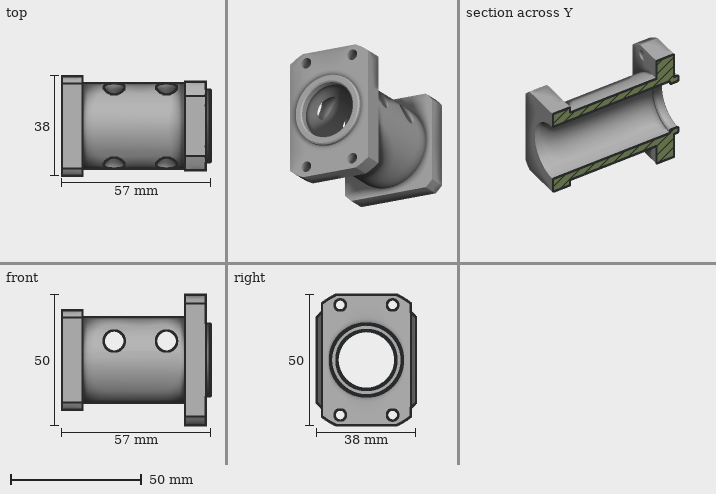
import cadquery as cq

total_length = 57.0
flange_thickness = 8.0
spigot_length = 2.0
mount_start = total_length - spigot_length - flange_thickness

tube_diameter = 33.0
spigot_diameter = 28.0
spigot_chamfer = 0.5
square_side = 38.0
square_corner_diameter = 50.0
mount_width = 34.0
mount_height = 50.0
mount_corner_diameter = 55.0

main_bore = 25.0
end_bore = 22.0
end_bore_length = 4.0
bore_chamfer = 0.5

cross_hole_diameter = 8.0
cross_hole_spacing = 20.0
cross_hole_height = 7.25
mount_hole_diameter = 4.2
mount_hole_spacing_y = 20.0
mount_hole_spacing_z = 42.0


def disc(start, length, diameter):
    """Cylinder along X, centred on the bore axis."""
    return cq.Workplane("YZ").workplane(offset=start).circle(diameter / 2).extrude(length)


def flange(start, width, height, corner_diameter):
    """Rectangular plate whose corners are turned down to a common circle."""
    plate = cq.Workplane("YZ").workplane(offset=start).rect(width, height).extrude(flange_thickness)
    return plate.intersect(disc(start, flange_thickness, corner_diameter))


def chamfer_cone(face, direction):
    """Cone that breaks the lip edge at one face, narrowing along X by the given direction."""
    narrow_radius = end_bore / 2
    wide_radius = narrow_radius + bore_chamfer
    return (
        cq.Workplane("XY")
        .moveTo(face, 0)
        .lineTo(face, wide_radius)
        .lineTo(face + direction * bore_chamfer, narrow_radius)
        .lineTo(face + direction * bore_chamfer, 0)
        .close()
        .revolve(360, (0, 0, 0), (1, 0, 0))
    )


spigot = disc(mount_start, total_length - mount_start, spigot_diameter)
spigot = spigot.faces(">X").chamfer(spigot_chamfer)
body = (
    disc(0, mount_start + flange_thickness, tube_diameter)
    .union(flange(0, square_side, square_side, square_corner_diameter))
    .union(flange(mount_start, mount_width, mount_height, mount_corner_diameter))
    .union(spigot)
)

lip_start = total_length - end_bore_length
body = body.cut(disc(0, lip_start, main_bore))
lip_bore = disc(lip_start, end_bore_length, end_bore)
lip_bore = lip_bore.union(chamfer_cone(lip_start, 1)).union(chamfer_cone(total_length, -1))
body = body.cut(lip_bore)

for index in (1, 2):
    hole = (
        cq.Workplane("XZ")
        .center(index * cross_hole_spacing, cross_hole_height)
        .circle(cross_hole_diameter / 2)
        .extrude(tube_diameter / 2, both=True)
    )
    body = body.cut(hole)

mount_holes = (
    cq.Workplane("YZ")
    .workplane(offset=mount_start)
    .rect(mount_hole_spacing_y, mount_hole_spacing_z, forConstruction=True)
    .vertices()
    .circle(mount_hole_diameter / 2)
    .extrude(flange_thickness)
)
result = body.cut(mount_holes)